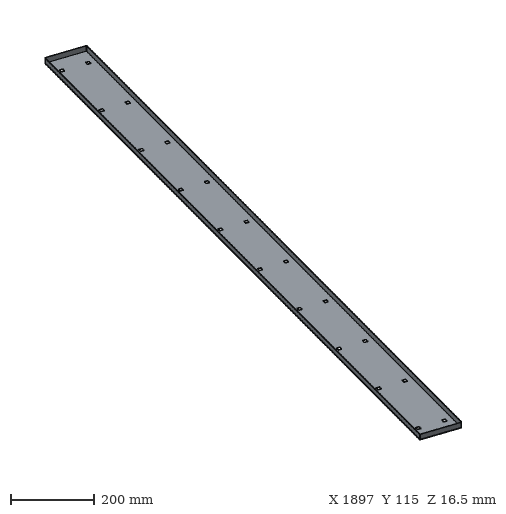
import cadquery as cq

length = 1897.0
width = 115.0
height = 16.5

sheet = 1.5
fold_radius = sheet

corner_gap = 0.01
relief_side = sheet + corner_gap

opening_side = 9.0
opening_columns = 10
opening_rows = 2
column_pitch = 200.0
row_pitch = 71.0


def make_tray():
    """Flat floor with an upright flange on all four sides, open at the top."""
    outer = cq.Workplane("XY").box(length, width, height, centered=(True, True, False))
    outer = outer.faces("<Z").edges().fillet(fold_radius)
    cavity = (
        cq.Workplane("XY")
        .workplane(offset=sheet)
        .rect(length - 2 * sheet, width - 2 * sheet)
        .extrude(height - sheet)
    )
    return outer.cut(cavity)


def make_corner_reliefs():
    """Cutters for the square relief at each corner, where two flanges meet."""
    return (
        cq.Workplane("XY")
        .rarray(length - relief_side, width - relief_side, 2, 2)
        .rect(relief_side, relief_side)
        .extrude(height)
    )


def make_openings():
    """Cutters for the grid of square openings."""
    return (
        cq.Workplane("XY")
        .rarray(column_pitch, row_pitch, opening_columns, opening_rows)
        .rect(opening_side, opening_side)
        .extrude(sheet)
    )


result = make_tray().cut(make_corner_reliefs()).cut(make_openings())